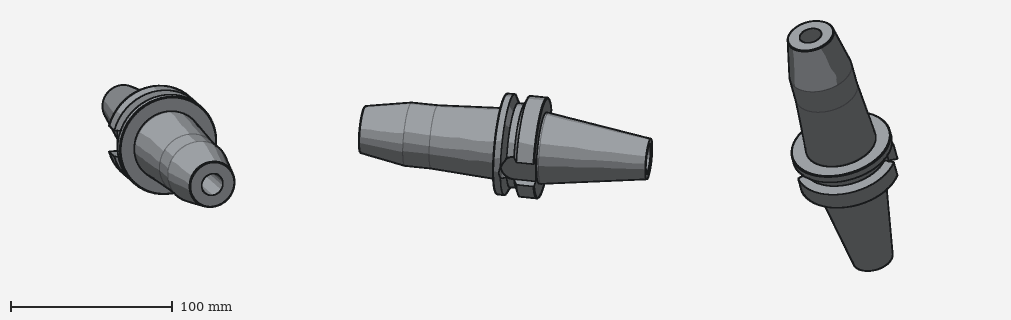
import cadquery as cq

total_length = 179.8
gauge_x = 65.5
flange_start_x = 66.5
flange_end_x = 92.5
neck_start_x = 93.3
collar_start_x = 134.7
collar_end_x = 151.2

taper_small_diameter = 25.4
gauge_diameter = 44.5
flange_diameter = 63.0
collar_diameter = 39.5
nose_diameter = 29.5
flange_chamfer = 0.5
end_chamfer = 0.5

groove_diameter = 52.5
groove_start_x = 77.7
groove_floor_start_x = 80.2
groove_floor_end_x = 84.7
groove_end_x = 87.5

slot_width = 16.7
slot_floor_y = 24.6
slot_end_x = 88.5

through_diameter = 13.8
entry_diameter = 17.0
entry_mouth_diameter = 19.0
entry_mouth_depth = 0.5
entry_depth = 8.6


def make_body():
    """Revolve the taper, flange, neck, collar and nose about X."""
    gauge_radius = gauge_diameter / 2
    flange_radius = flange_diameter / 2
    groove_radius = groove_diameter / 2
    collar_radius = collar_diameter / 2
    nose_radius = nose_diameter / 2
    profile = [
        (0, 0),
        (0, taper_small_diameter / 2),
        (gauge_x, gauge_radius),
        (flange_start_x, gauge_radius),
        (flange_start_x, flange_radius - flange_chamfer),
        (flange_start_x + flange_chamfer, flange_radius),
        (groove_start_x, flange_radius),
        (groove_floor_start_x, groove_radius),
        (groove_floor_end_x, groove_radius),
        (groove_end_x, flange_radius),
        (flange_end_x - flange_chamfer, flange_radius),
        (flange_end_x, flange_radius - flange_chamfer),
        (flange_end_x, gauge_radius),
        (neck_start_x, gauge_radius),
        (collar_start_x, collar_radius),
        (collar_end_x, collar_radius),
        (total_length - end_chamfer, nose_radius),
        (total_length, nose_radius - end_chamfer),
        (total_length, 0),
    ]
    return cq.Workplane("XY").polyline(profile).close().revolve(360, (0, 0, 0), (1, 0, 0))


def make_drive_slot(side):
    """Round-ended slot cutter; side is -1 for -Y and +1 for +Y."""
    half_width = slot_width / 2
    arc_center_x = slot_end_x - half_width
    return (
        cq.Workplane("XZ", origin=(0, side * slot_floor_y, 0))
        .moveTo(flange_start_x, -half_width)
        .lineTo(arc_center_x, -half_width)
        .threePointArc((slot_end_x, 0), (arc_center_x, half_width))
        .lineTo(flange_start_x, half_width)
        .close()
        .extrude(-side * flange_diameter / 2)
    )


def make_bore():
    """Through bore with a wider, countersunk entry at the taper end."""
    entry_radius = entry_diameter / 2
    mouth_radius = entry_mouth_diameter / 2
    through_radius = through_diameter / 2
    profile = [
        (0, 0),
        (0, mouth_radius),
        (entry_mouth_depth, entry_radius),
        (entry_depth, entry_radius),
        (entry_depth, through_radius),
        (total_length, through_radius),
        (total_length, 0),
    ]
    return cq.Workplane("XY").polyline(profile).close().revolve(360, (0, 0, 0), (1, 0, 0))


result = make_body().cut(make_bore())
for slot_side in (-1, 1):
    result = result.cut(make_drive_slot(slot_side))